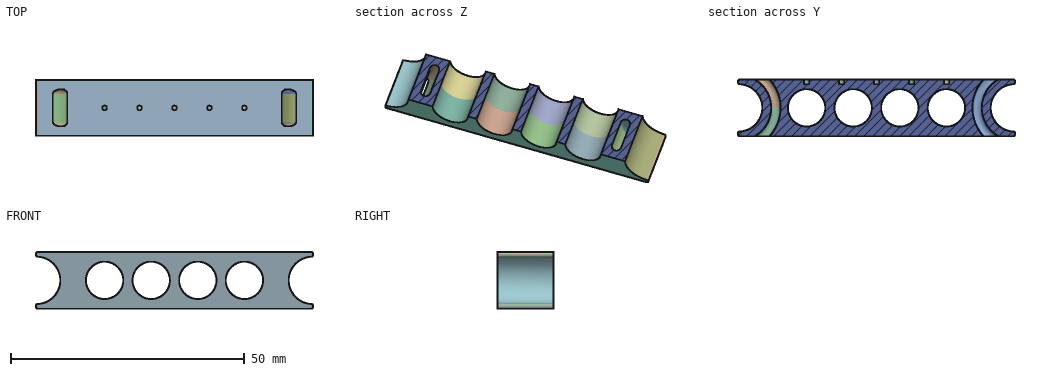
import cadquery as cq

length = 59.5
depth = 12.0
height = 12.2

notch_radius = 5.05
notch_inset = 0.2
notch_axis_x = length / 2 - notch_inset
lip_fillet = 0.5

cross_hole_diameter = 8.0
cross_hole_pitch = 10.0
cross_hole_count = 4

pin_hole_diameter = 1.0
pin_hole_depth = 1.0
pin_hole_pitch = 7.5
pin_hole_count = 5

channel_inner_radius = 7.0
channel_thickness = 1.95
channel_width = 8.0
channel_radius = channel_inner_radius + channel_thickness / 2


def row_positions(count, pitch):
    """Points evenly spaced along X and centred on the origin."""
    return [((i - (count - 1) / 2) * pitch, 0) for i in range(count)]


def notched_block():
    """Block with a half-round notch at each end and rounded lips."""
    block = cq.Workplane("XY").box(length, depth, height)
    notches = (
        cq.Workplane("XZ")
        .pushPoints([(-notch_axis_x, 0), (notch_axis_x, 0)])
        .circle(notch_radius)
        .extrude(depth, both=True)
    )
    block = block.cut(notches)
    return block.faces("<X or >X").edges("|Y").fillet(lip_fillet)


def curved_channel(axis_x):
    """Slot section turned about the notch axis, so it opens on the top and bottom."""
    return (
        cq.Workplane("XY")
        .center(axis_x + channel_radius, 0)
        .slot2D(channel_width, channel_thickness, 90)
        .revolve(360, (-channel_radius, 0, 0), (-channel_radius, 1, 0))
    )


def cross_holes():
    return (
        cq.Workplane("XZ")
        .pushPoints(row_positions(cross_hole_count, cross_hole_pitch))
        .circle(cross_hole_diameter / 2)
        .extrude(depth, both=True)
    )


def pin_holes():
    return (
        cq.Workplane("XY")
        .workplane(offset=height / 2)
        .pushPoints(row_positions(pin_hole_count, pin_hole_pitch))
        .circle(pin_hole_diameter / 2)
        .extrude(-pin_hole_depth)
    )


result = notched_block().cut(cross_holes()).cut(pin_holes())
for axis_x in (-notch_axis_x, notch_axis_x):
    result = result.cut(curved_channel(axis_x))